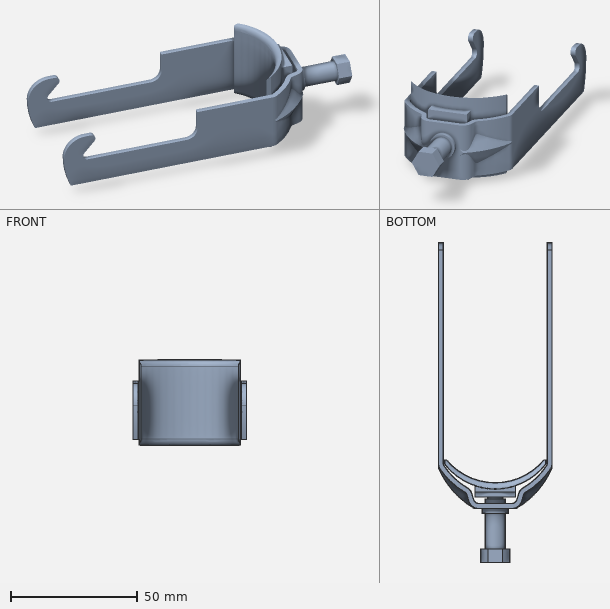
import cadquery as cq
import math


total_length = 126.5
strap_width = 45.0
strap_height = 23.3
sheet = 2.0

crossbar_y = 105.1
corner_radius = 3.2
corner_angle = 73
neck_length = 2.5
throat_radius = 3.0
shoulder_radius = 28.1
shoulder_start_angle = 30
shoulder_end_angle = 57
leg_bend_radius = 2.4
leg_angle = 90

step_y = 55.8
step_fillet = 4.4
slot_floor_z = 11.0
slot_end_y = 8.0
slot_end_radius = 2.0
hook_top_z = 22.1
hook_nose_y = 13.0
hook_nose_radius = 1.9
hook_back_radius = 8.7
heel_y = 2.8

rib_ridge_radius = 33.9
rib_centre_x = 8.7
rib_centre_y = 75.8
rib_slope = 0.49
rib_half_height = 6.6
collar_diameter = 10.4
collar_length = 1.9

bolt_z = 14.0
shank_diameter = 8.0
head_across_flats = 10.0
head_length = 5.5
shank_end_y = 101.3
tip_diameter = 6.0

saddle_bottom_z = -2.4
saddle_height = 34.0
saddle_width = 40.0
saddle_outer_apex_y = 97.4
saddle_outer_end_y = 87.5
saddle_inner_apex_y = 94.9
saddle_inner_end_y = 85.9
saddle_mouth_width = 38.5
rim_radius = 2.7

block_width = 16.2
block_outer_y = 100.6
block_top_z = 26.3
block_tongue_y = 98.5


def arc_radius(half_chord, rise):
    return (half_chord ** 2 + rise ** 2) / (2 * rise)


def y_cylinder(diameter, y_start, y_end):
    """Cylinder on the bolt axis."""
    return (
        cq.Workplane("XZ", origin=(0, y_start, bolt_z))
        .circle(diameter / 2)
        .extrude(y_start - y_end)
    )


def shoulder_outline(offset):
    """Straights and arcs of one shoulder, shifted outwards from mid-sheet by offset.

    Each entry holds the middle point (None for a straight) and the end point, starting at the crossbar end
    with x growing outwards and y measured from mid-sheet of the crossbar.
    """
    bends = [
        (corner_radius, 0, corner_angle),
        (neck_length, corner_angle, corner_angle),
        (throat_radius, corner_angle, shoulder_start_angle),
        (shoulder_radius, shoulder_start_angle, shoulder_end_angle),
        (leg_bend_radius, shoulder_end_angle, leg_angle),
    ]
    x, y = 0.0, 0.0
    pieces = []
    for size, start_angle, end_angle in bends:
        start, end = math.radians(start_angle), math.radians(end_angle)
        middle = None
        if start_angle == end_angle:
            x += size * math.cos(start)
            y -= size * math.sin(start)
        else:
            turn = 1 if end > start else -1
            centre_x = x - turn * size * math.sin(start)
            centre_y = y - turn * size * math.cos(start)
            half = (start + end) / 2
            reach = turn * size + offset
            middle = (centre_x + reach * math.sin(half), centre_y + reach * math.cos(half))
            x = centre_x + turn * size * math.sin(end)
            y = centre_y + turn * size * math.cos(end)
        pieces.append((middle, (x + offset * math.sin(end), y + offset * math.cos(end))))
    return pieces


leg_mid_x = (strap_width - sheet) / 2
crossbar_half = leg_mid_x - shoulder_outline(0)[-1][1][0]


def strap_boundary(offset):
    """Closed XY region under the line that runs offset outside the mid-sheet line of the strap."""
    base_y = crossbar_y - sheet / 2

    def place(point):
        return (point[0] + crossbar_half, point[1] + base_y)

    outline = cq.Workplane("XY").moveTo(0, base_y + offset).lineTo(crossbar_half, base_y + offset)
    for middle, end in shoulder_outline(offset):
        if middle is None:
            outline = outline.lineTo(*place(end))
        else:
            outline = outline.threePointArc(place(middle), place(end))
    half = outline.lineTo(leg_mid_x + offset, 0).lineTo(0, 0).close().extrude(strap_height)
    return half.union(half.mirror("YZ"))


def leg_profile():
    """Side outline of the strap, extruded across its whole width."""
    diagonal = math.sqrt(0.5)
    slot_centre_y = slot_end_y + slot_end_radius
    slot_centre_z = slot_floor_z + slot_end_radius
    nose_centre_y = hook_nose_y - hook_nose_radius
    nose_centre_z = hook_top_z - hook_nose_radius
    back_centre_z = hook_top_z - hook_back_radius
    heel_radius = arc_radius(back_centre_z, heel_y)
    heel_half_angle = math.asin(back_centre_z / heel_radius) / 2
    return (
        cq.Workplane("YZ")
        .moveTo(total_length, 0)
        .lineTo(total_length, strap_height)
        .lineTo(step_y, strap_height)
        .lineTo(step_y, slot_floor_z + step_fillet)
        .radiusArc((step_y - step_fillet, slot_floor_z), step_fillet)
        .lineTo(slot_centre_y, slot_floor_z)
        .threePointArc(
            (slot_end_y, slot_centre_z),
            (slot_centre_y - slot_end_radius * diagonal, slot_centre_z + slot_end_radius * diagonal),
        )
        .lineTo(nose_centre_y + hook_nose_radius * diagonal, nose_centre_z - hook_nose_radius * diagonal)
        .threePointArc(
            (nose_centre_y + hook_nose_radius * diagonal, nose_centre_z + hook_nose_radius * diagonal),
            (nose_centre_y, hook_top_z),
        )
        .lineTo(hook_back_radius, hook_top_z)
        .threePointArc(
            (hook_back_radius * (1 - diagonal), back_centre_z + hook_back_radius * diagonal),
            (0, back_centre_z),
        )
        .threePointArc(
            (
                heel_radius * (1 - math.cos(heel_half_angle)),
                back_centre_z - heel_radius * math.sin(heel_half_angle),
            ),
            (heel_y, 0),
        )
        .close()
        .extrude(strap_width, both=True)
    )


def shoulder_rib(side, strap_core):
    """Rib with a sharp curved ridge: a double cone cut off by the strap's outer face."""
    end_radius = rib_ridge_radius - rib_slope * rib_half_height
    double_cone = (
        cq.Workplane("XZ")
        .moveTo(0, -rib_half_height)
        .lineTo(end_radius, -rib_half_height)
        .lineTo(rib_ridge_radius, 0)
        .lineTo(end_radius, rib_half_height)
        .lineTo(0, rib_half_height)
        .close()
        .revolve(360, (0, 0, 0), (0, 1, 0))
        .translate((-side * rib_centre_x, rib_centre_y, strap_height / 2))
    )
    shoulder_width = strap_width / 2 - crossbar_half
    shoulder_drop = -shoulder_outline(0)[-1][1][1]
    shoulder_zone = (
        cq.Workplane("XY")
        .box(shoulder_width, shoulder_drop, strap_height, centered=(True, False, False))
        .translate((side * (crossbar_half + shoulder_width / 2), crossbar_y - shoulder_drop, 0))
    )
    return double_cone.intersect(shoulder_zone).cut(strap_core)


def make_strap():
    bent_sheet = strap_boundary(sheet / 2).cut(strap_boundary(-sheet / 2))
    strap = bent_sheet.intersect(leg_profile())
    mid_core = strap_boundary(0)
    for side in (-1, 1):
        strap = strap.union(shoulder_rib(side, mid_core))
    strap = strap.union(y_cylinder(collar_diameter, crossbar_y - sheet / 2, crossbar_y + collar_length))
    return strap.cut(y_cylinder(shank_diameter, shank_end_y, total_length))


def make_bolt():
    head_y = total_length - head_length
    head = (
        cq.Workplane("XZ", origin=(0, head_y, bolt_z))
        .polygon(6, head_across_flats, circumscribed=True)
        .extrude(-head_length)
        .rotate((0, 0, bolt_z), (0, 1, bolt_z), 30)
    )
    shank = y_cylinder(shank_diameter, shank_end_y, head_y)
    tip = y_cylinder(tip_diameter, block_outer_y, shank_end_y)
    return head.union(shank).union(tip)


def rim_cutter():
    """Ring that rounds the saddle's inner edge at the top rim."""
    inner_radius = arc_radius(saddle_mouth_width / 2, saddle_inner_apex_y - saddle_inner_end_y)
    rim_z = saddle_bottom_z + saddle_height
    profile = (
        cq.Workplane("XZ")
        .moveTo(inner_radius - rim_radius, rim_z - rim_radius)
        .lineTo(inner_radius, rim_z - rim_radius)
        .radiusArc((inner_radius + rim_radius, rim_z), rim_radius)
        .lineTo(inner_radius - rim_radius, rim_z)
        .close()
    )
    return profile.revolve(360, (0, 0, 0), (0, 1, 0)).translate((0, saddle_inner_apex_y - inner_radius, 0))


def make_saddle():
    saddle = (
        cq.Workplane("XY", origin=(0, 0, saddle_bottom_z))
        .moveTo(-saddle_width / 2, saddle_outer_end_y)
        .threePointArc((0, saddle_outer_apex_y), (saddle_width / 2, saddle_outer_end_y))
        .lineTo(saddle_width / 2, saddle_inner_end_y)
        .lineTo(saddle_mouth_width / 2, saddle_inner_end_y)
        .threePointArc((0, saddle_inner_apex_y), (-saddle_mouth_width / 2, saddle_inner_end_y))
        .lineTo(-saddle_width / 2, saddle_inner_end_y)
        .close()
        .extrude(saddle_height)
    )
    top_cutter = rim_cutter()
    bottom_cutter = top_cutter.mirror("XY", (0, 0, saddle_bottom_z + saddle_height / 2))
    return saddle.cut(top_cutter).cut(bottom_cutter)


def make_block():
    """Pressure block whose inner face follows the saddle, thinned to a tongue below the bolt."""
    shoulder_z = 2 * bolt_z - block_top_z
    outer_radius = arc_radius(saddle_width / 2, saddle_outer_apex_y - saddle_outer_end_y)
    saddle_side = cq.Workplane("XY", origin=(0, saddle_outer_apex_y - outer_radius, saddle_bottom_z))
    saddle_side = saddle_side.circle(outer_radius).extrude(saddle_height)
    block = (
        cq.Workplane("YZ")
        .moveTo(saddle_outer_end_y, saddle_bottom_z)
        .lineTo(block_tongue_y, saddle_bottom_z)
        .lineTo(block_tongue_y, shoulder_z)
        .lineTo(block_outer_y, shoulder_z)
        .lineTo(block_outer_y, block_top_z)
        .lineTo(saddle_outer_end_y, block_top_z)
        .close()
        .extrude(block_width / 2, both=True)
    )
    return block.cut(saddle_side)


strap = make_strap()
bolt = make_bolt()
saddle = make_saddle()
block = make_block()

result = cq.Compound.makeCompound([strap.val(), bolt.val(), saddle.val(), block.val()])